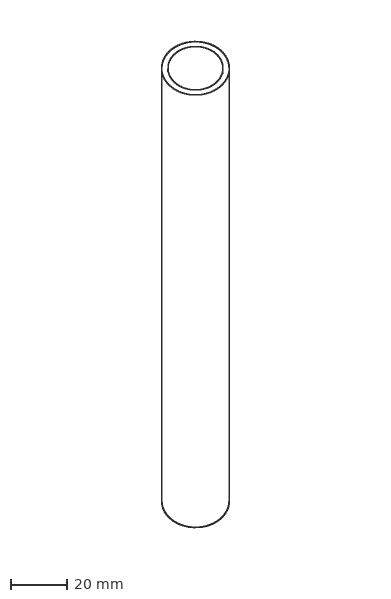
import cadquery as cq

length = 250.0
outer_diameter = 24.0
wall = 2.2
inner_diameter = outer_diameter - 2 * wall

result = (
    cq.Workplane("XY")
    .circle(outer_diameter / 2)
    .circle(inner_diameter / 2)
    .extrude(length)
)